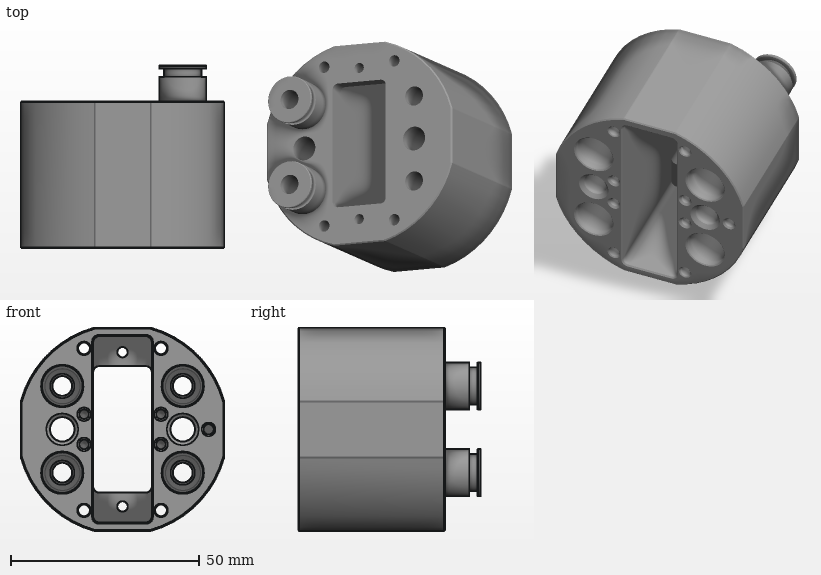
import cadquery as cq
import math

flat_span = 54.0
body_diameter = 56.0
body_depth = 39.0
rim_chamfer = 0.3
flat_edge_chamfer = 0.1

pocket_width = 15.45
pocket_height = 49.35
pocket_chamfer = 0.4
window_height = 33.5
corner_radius = 1.5
floor_thickness = 5.0
floor_hole_diameter = 2.7
floor_hole_z = 20.45

port_x = 16.0
port_z = 11.5
port_bore_diameter = 10.75
port_bore_depth = 20.0
port_mouth_chamfer = 0.25
port_cone_start_diameter = 9.3
port_cone_end_diameter = 6.5
port_cone_depth = 0.25
port_throat_depth = 5.0
port_outlet_diameter = 5.2

guide_diameter = 6.4
guide_mouth_diameter = 8.4

screw_x = 10.2
through_screw_z = 21.5
through_screw_diameter = 3.1
blind_screw_z = 4.0
blind_screw_diameter = 2.55
blind_screw_depth = 8.0
small_mouth_diameter = 3.6
drill_point_angle = 118.0

pin_x = 22.85
pin_diameter = 2.7
pin_depth = 5.0

sleeve_diameter = 12.6
sleeve_length = 6.5
neck_diameter = 10.0
neck_length = 2.1
flange_thickness = 0.9
flange_chamfer = 0.15

along_y = cq.Vector(0, 1, 0)


def cylinder(x, z, diameter, y_start, y_end):
    start = cq.Vector(x, y_start, z)
    return cq.Workplane(cq.Solid.makeCylinder(diameter / 2, y_end - y_start, start, along_y))


def cone(x, z, start_diameter, end_diameter, y_start, y_end):
    start = cq.Vector(x, y_start, z)
    return cq.Workplane(
        cq.Solid.makeCone(start_diameter / 2, end_diameter / 2, y_end - y_start, start, along_y)
    )


def mouth(x, z, mouth_diameter, hole_diameter):
    """45 degree countersink at the front face."""
    depth = (mouth_diameter - hole_diameter) / 2
    return cone(x, z, mouth_diameter, hole_diameter, 0, depth)


def rounded_box(width, height, y_start, y_end):
    length = y_end - y_start
    box = cq.Workplane("XY").box(width, length, height).edges("|Y").fillet(corner_radius)
    return box.translate((0, y_start + length / 2, 0))


def make_body():
    round_bar = cylinder(0, 0, body_diameter, 0, body_depth)
    flats = cq.Workplane("XY").box(flat_span, body_depth, flat_span).translate((0, body_depth / 2, 0))
    body = round_bar.intersect(flats).edges("|Y").chamfer(flat_edge_chamfer)
    return body.faces("<Y or >Y").chamfer(rim_chamfer)


def pocket_cutter():
    floor_y = body_depth - floor_thickness
    pocket = rounded_box(pocket_width, pocket_height, 0, floor_y)
    rim = (
        cq.Workplane("XZ", origin=(0, pocket_chamfer, 0))
        .sketch()
        .rect(pocket_width, pocket_height)
        .vertices()
        .fillet(corner_radius)
        .finalize()
        .extrude(pocket_chamfer, taper=-45)
    )
    cutter = pocket.union(rim).union(rounded_box(pocket_width, window_height, 0, body_depth))
    for z in (-floor_hole_z, floor_hole_z):
        cutter = cutter.union(cylinder(0, z, floor_hole_diameter, floor_y, body_depth))
    return cutter


def port_cutter(x, z, y_end):
    cone_y = port_bore_depth + port_cone_depth
    throat_y = cone_y + port_throat_depth
    return (
        cylinder(x, z, port_bore_diameter, 0, port_bore_depth)
        .union(mouth(x, z, port_bore_diameter + 2 * port_mouth_chamfer, port_bore_diameter))
        .union(cone(x, z, port_cone_start_diameter, port_cone_end_diameter, port_bore_depth, cone_y))
        .union(cylinder(x, z, port_cone_end_diameter, cone_y, throat_y))
        .union(cylinder(x, z, port_outlet_diameter, throat_y, y_end))
    )


def guide_cutter(x):
    bore = cylinder(x, 0, guide_diameter, 0, body_depth)
    return bore.union(mouth(x, 0, guide_mouth_diameter, guide_diameter))


def through_screw_cutter(x, z):
    bore = cylinder(x, z, through_screw_diameter, 0, body_depth)
    return bore.union(mouth(x, z, small_mouth_diameter, through_screw_diameter))


def blind_screw_cutter(x, z):
    point_depth = blind_screw_diameter / 2 / math.tan(math.radians(drill_point_angle / 2))
    return (
        cylinder(x, z, blind_screw_diameter, 0, blind_screw_depth)
        .union(mouth(x, z, small_mouth_diameter, blind_screw_diameter))
        .union(cone(x, z, blind_screw_diameter, 0, blind_screw_depth, blind_screw_depth + point_depth))
    )


def pin_cutter():
    bore = cylinder(pin_x, 0, pin_diameter, 0, pin_depth)
    return bore.union(mouth(pin_x, 0, small_mouth_diameter, pin_diameter))


def make_fitting(x, z):
    neck_y = body_depth + sleeve_length
    flange_y = neck_y + neck_length
    flange = cylinder(x, z, sleeve_diameter, flange_y, flange_y + flange_thickness)
    return (
        cylinder(x, z, sleeve_diameter, body_depth, neck_y)
        .union(cylinder(x, z, neck_diameter, neck_y, flange_y))
        .union(flange.edges().chamfer(flange_chamfer))
    )


fitting_end_y = body_depth + sleeve_length + neck_length + flange_thickness

result = make_body().cut(pocket_cutter())
for z in (-port_z, port_z):
    result = result.union(make_fitting(port_x, z))
    result = result.cut(port_cutter(port_x, z, fitting_end_y))
    result = result.cut(port_cutter(-port_x, z, body_depth))
for side in (-1, 1):
    result = result.cut(guide_cutter(side * port_x))
    for end in (-1, 1):
        result = result.cut(through_screw_cutter(side * screw_x, end * through_screw_z))
        result = result.cut(blind_screw_cutter(side * screw_x, end * blind_screw_z))
result = result.cut(pin_cutter())